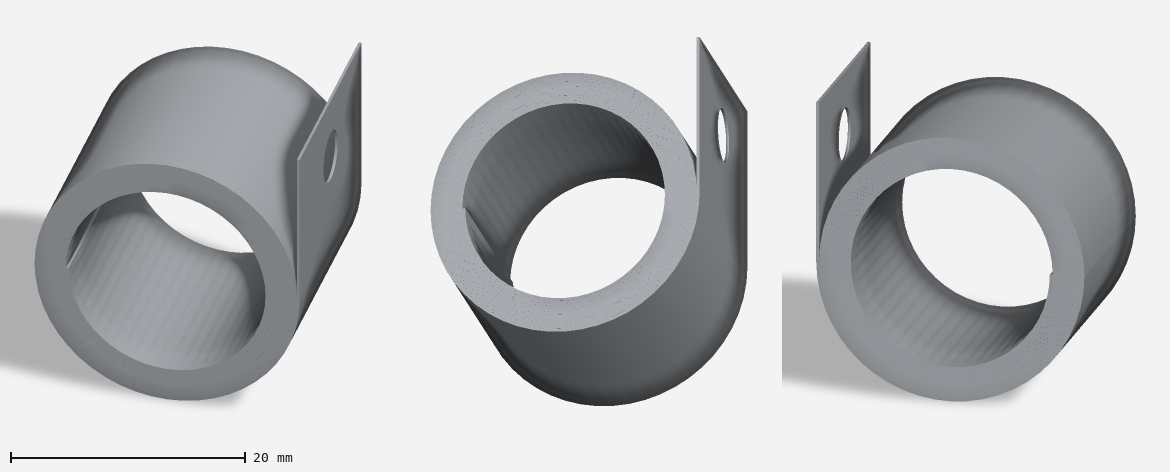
import cadquery as cq

overall_height = 25.7
overall_width = 23.4
strip_width = 20.0
strip_thickness = 0.25
turn_gap = 0.003
full_turns = 11
hole_diameter = 4.63
hole_below_top = 5.5

coil_pitch = strip_thickness + turn_gap
outer_radius = overall_width / 2
inner_radius = outer_radius - full_turns * coil_pitch - strip_thickness
tab_top = overall_height - outer_radius


def lower_half(sketch, radius, direction):
    """Half circle below the X axis; direction is +1 for left to right, -1 for right to left."""
    return sketch.threePointArc((0, -radius), (direction * radius, 0))


def upper_half(sketch, right_radius, direction):
    """Half circle above the X axis, reaching one pitch further out on its left end."""
    left_radius = right_radius + coil_pitch
    center_x = (right_radius - left_radius) / 2
    arc_radius = (right_radius + left_radius) / 2
    end_x = right_radius if direction > 0 else -left_radius
    return sketch.threePointArc((center_x, arc_radius), (end_x, 0))


def coiled_strip():
    """Strip wound outward from its free inner end on the left to the straight tab on the right."""
    sketch = cq.Workplane("XZ").moveTo(-inner_radius, 0)

    for turn in range(full_turns):
        radius = inner_radius + turn * coil_pitch
        sketch = lower_half(sketch, radius, 1)
        sketch = upper_half(sketch, radius, -1)
    sketch = lower_half(sketch, outer_radius - strip_thickness, 1)

    sketch = sketch.lineTo(outer_radius - strip_thickness, tab_top)
    sketch = sketch.lineTo(outer_radius, tab_top)
    sketch = sketch.lineTo(outer_radius, 0)

    sketch = lower_half(sketch, outer_radius, -1)
    for turn in reversed(range(full_turns)):
        radius = inner_radius + strip_thickness + turn * coil_pitch
        sketch = upper_half(sketch, radius, 1)
        sketch = lower_half(sketch, radius, -1)

    return sketch.close().extrude(strip_width / 2, both=True)


def tab_hole():
    """Cutter for the round hole, as deep as the tab so that the turns beside it stay whole."""
    return (
        cq.Workplane("YZ", origin=(outer_radius - strip_thickness, 0, tab_top - hole_below_top))
        .circle(hole_diameter / 2)
        .extrude(strip_thickness)
    )


result = coiled_strip().cut(tab_hole())